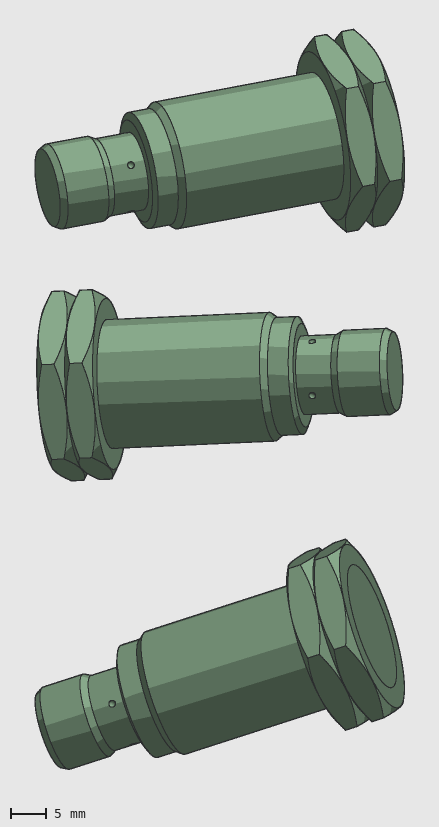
import cadquery as cq
import math

total_length = 48.5

nut_count = 2
nut_across_flats = 24.0
nut_thickness = 4.0
nut_chamfer_angle = 30.0
nut_face_diameter = 23.85

barrel_diameter = 18.0
collar_diameter = 16.5
collar_end_diameter = 14.45
neck_diameter = 11.0
plug_diameter = 12.1
plug_end_diameter = 11.0

barrel_length = 31.1
barrel_taper = 0.95
collar_length = 2.95
collar_chamfer = 0.5
neck_length = 5.0
plug_taper = 1.0
plug_chamfer = 0.95

window_count = 4
window_diameter = 0.95
window_start_angle = 45.0
window_offset = 2.05


def make_sensor():
    """Stepped round sensor with its plug and its window dimples."""
    collar_start = barrel_length + barrel_taper
    collar_edge = collar_start + collar_length
    neck_start = collar_edge + collar_chamfer
    neck_end = neck_start + neck_length
    plug_start = neck_end + plug_taper
    plug_edge = total_length - plug_chamfer
    half_profile = [
        (0, 0),
        (barrel_diameter / 2, 0),
        (barrel_diameter / 2, -barrel_length),
        (collar_diameter / 2, -collar_start),
        (collar_diameter / 2, -collar_edge),
        (collar_end_diameter / 2, -neck_start),
        (neck_diameter / 2, -neck_start),
        (neck_diameter / 2, -neck_end),
        (plug_diameter / 2, -plug_start),
        (plug_diameter / 2, -plug_edge),
        (plug_end_diameter / 2, -total_length),
        (0, -total_length),
    ]
    sensor = cq.Workplane("XY").polyline(half_profile).close().revolve(360, (0, 0, 0), (0, 1, 0))

    window_y = -(neck_start + window_offset)
    cutter = cq.Workplane("XY", origin=(neck_diameter / 2, window_y, 0)).sphere(window_diameter / 2)
    for index in range(window_count):
        angle = window_start_angle + index * 360 / window_count
        sensor = sensor.cut(cutter.rotate((0, 0, 0), (0, 1, 0), angle))
    return sensor


def make_nut(index):
    """Hexagon nut with both faces chamfered; index counts from the sensing face."""
    back_y = -index * nut_thickness
    front_y = back_y - nut_thickness
    corner_radius = nut_across_flats / 2 / math.cos(math.radians(30))
    face_radius = nut_face_diameter / 2
    chamfer_depth = (corner_radius - face_radius) * math.tan(math.radians(nut_chamfer_angle))

    prism = (
        cq.Workplane("XZ", origin=(0, back_y, 0))
        .polygon(6, 2 * corner_radius)
        .circle(barrel_diameter / 2)
        .extrude(nut_thickness)
    )
    envelope_profile = [
        (0, back_y),
        (face_radius, back_y),
        (corner_radius, back_y - chamfer_depth),
        (corner_radius, front_y + chamfer_depth),
        (face_radius, front_y),
        (0, front_y),
    ]
    envelope = cq.Workplane("XY").polyline(envelope_profile).close().revolve(360, (0, 0, 0), (0, 1, 0))
    return prism.intersect(envelope)


sensor = make_sensor()
nuts = [make_nut(index).val() for index in range(nut_count)]

result = cq.Compound.makeCompound([sensor.val(), *nuts])